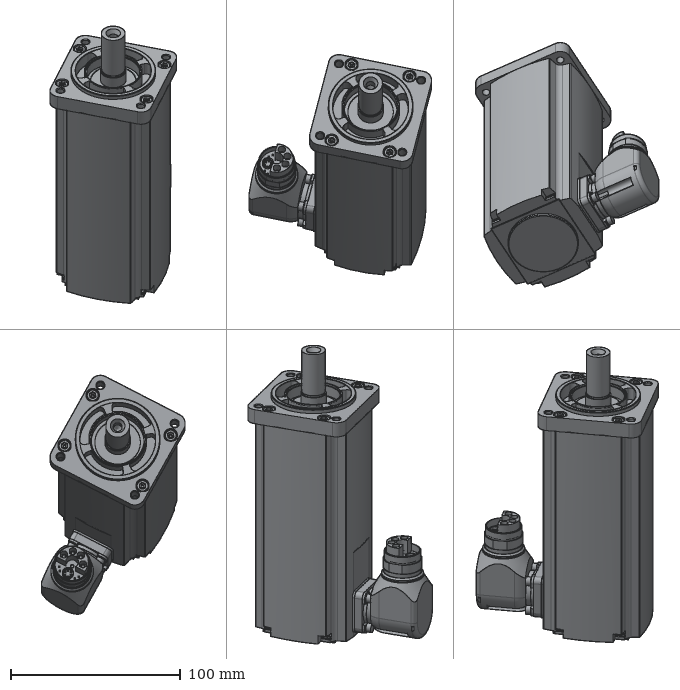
import cadquery as cq
import math

TOTAL_HEIGHT = 177.3
FLANGE_SIZE = 62.0
FLANGE_BOTTOM, FLANGE_TOP = 138.3, 147.3
FLANGE_CORNER_RADIUS = 6.2
PILOT_DIAMETER = 50.0
PILOT_TOP = 149.8
PILOT_CHAMFER = 0.4

SHAFT_DIAMETER = 14.0
SHAFT_NECK_DIAMETER = 13.7
SHAFT_COLLAR_DIAMETER = 15.0
SHAFT_NECK_HEIGHT = 1.0
CENTRE_BORE_DIAMETER = 5.3
CENTRE_BORE_DEPTH = 7.1
CENTRE_MOUTH_DIAMETER = 8.5
CENTRE_MOUTH_DEPTH = 2.7

FACE_RECESS_DIAMETER = 44.9
FACE_RECESS_DEPTH = 0.4
POCKET_INNER_RADIUS, POCKET_OUTER_RADIUS = 17.0, 22.3
POCKET_HALF_ANGLE = 38.0
POCKET_CORNER_RADIUS = 2.5
POCKET_DEPTH = 8.0
BEARING_BORE_DIAMETER = 31.2
SEAL_DIAMETER = 26.8
SEAL_GROOVE_DEPTH = 0.7
BEARING_BORE_DEPTH = 7.1
BEARING_MOUTH_DIAMETER = 32.6
BEARING_MOUTH_DEPTH = 1.5

MOUNT_HOLE_DIAMETER = 4.3
MOUNT_HOLE_MOUTH_DIAMETER = 5.3
MOUNT_HOLE_OFFSET = 24.8
SCREW_X, SCREW_Y = 26.0, 17.5
SCREW_SEAT_DIAMETER = 7.8
SCREW_SEAT_DEPTH = 1.8
SCREW_HEAD_DIAMETER = 6.5
SCREW_HEAD_HEIGHT = 1.2
SCREW_SOCKET_DIAMETER = 4.0
SCREW_PILOT_DIAMETER = 2.0

BODY_BOTTOM = 2.8
BODY_HALF_WIDTH = 31.0
FACE_END, FACE_HALF_LENGTH = 29.0, 19.5
FACE_EDGE_CHAMFER = 0.5
CORNER_STEP = 21.6
CORNER_INNER_RADIUS = 4.0
CLIP_INNER_X = 23.8
CLIP_INNER_Y, CLIP_OUTER_Y = 15.0, 22.3
CLIP_TOP = 8.2
CLIP_FOOT_TOP = 4.6
CLIP_LIP_BOTTOM, CLIP_LIP_TOP = 5.5, 6.4
CLIP_LIP_REACH = 25.2
END_PLATE_WIDTH = 45.4
END_PLATE_BOTTOM = 2.0
END_DISC_DIAMETER = 41.5
END_DISC_CHAMFER = 0.5

PLUG_AXIS_Z = 18.6
PLUG_REAR_Y = 71.0
PAD_TOP = 57.1
PAD_Y = 30.3
BASE_SIZE = 25.9
BASE_LIP_SIZE = 26.5
BASE_LIP_Y = 31.5
EAR_SIZE = 25.5
EAR_CHAMFER = 0.5
BASE_CORNER_RADIUS = 3.2
BASE_Y = 36.3
EAR_Y = 38.3
EAR_GAP = 13.5
NECK_DIAMETER = 22.0
NECK_RING_DIAMETER = 22.9
PLUG_SCREW_DIAMETER = 5.3
PLUG_SCREW_OFFSET = 9.4
HOUSING_HALF_WIDTH = 14.2
HOUSING_FRONT_Y = 41.3
HOUSING_FRONT_HALF_WIDTH = 12.2
HOUSING_TAPER_Y = 47.5
HOUSING_TOP = 42.5
HOUSING_REAR_RADIUS = 2.8
SHOULDER_TOP_RADIUS = 12.5
SHOULDER_SLOPE = 1.6
ACCESS_GROOVE_DIAMETER = 5.1
ACCESS_GROOVE_END_Y = 64.5
LATCH_Y, LATCH_Z = 68.8, 13.8
LATCH_LENGTH, LATCH_HEIGHT, LATCH_DEPTH = 1.5, 5.3, 1.0

OUTLET_Y = 56.7
OUTLET_SEAL_DIAMETER = 24.8
OUTLET_SEAL_TOP = 45.0
OUTLET_SEAL_GAP = 0.5
OUTLET_SEAL_CHAMFER = 1.0
OUTLET_NECK_DIAMETER = 22.0
NUT_DIAMETER = 22.9
NUT_FLAT_WIDTH = 21.3
NUT_BOTTOM, NUT_TOP = 47.5, 53.4
COLLAR_DIAMETER = 21.6
COLLAR_BORE_DIAMETER = 20.2
COLLAR_TOP = 58.5
COLLAR_CHAMFER = 0.4
INSERT_FLOOR = 54.0
INSERT_TOP = 63.3
INSERT_RADIUS = 9.5
INSERT_FLAT = 1.8
INSERT_NOTCH_RADIUS = 3.7
POWER_SOCKETS = [(6.4, -1.6), (2.7, -5.9)]
POWER_SOCKET_DIAMETER = 4.3
POWER_SOCKET_DEPTH = 7.1
PIN_DIAMETER = 2.0
PIN_HEIGHT = 2.7
DATA_PLUG_OFFSET = 5.3
DATA_PLUG_DIAMETER = 6.5
DATA_PLUG_BORE_DIAMETER = 5.1
DATA_PLUG_HEIGHT = 1.8
CONTACT_DIAMETER = 1.0
CONTACT_DEPTH = 1.5
DATA_CONTACT_COUNT = 6
DATA_CONTACT_RADIUS = 2.0
SIGNAL_CONTACTS = [(5.0, 6.0), (6.5, 3.9)]

EDGE_PICK_MARGIN = 0.2


def rod(diameter, bottom, top, x=0, y=0):
    """Cylinder along Z."""
    return cq.Workplane("XY", origin=(x, y, bottom)).circle(diameter / 2).extrude(top - bottom)


def rod_along_y(diameter, start, end, x, z):
    """Cylinder along +Y."""
    return cq.Workplane("XZ", origin=(x, start, z)).circle(diameter / 2).extrude(start - end)


def block(x_range, y_range, z_range):
    """Box given by its lower and upper limits on each axis."""
    spans = (x_range, y_range, z_range)
    sizes = [high - low for low, high in spans]
    corner = tuple(low for low, high in spans)
    return cq.Workplane("XY").box(*sizes, centered=False).translate(corner)


def mirrored(x, y):
    """The four points that share |x| and |y|."""
    return [(sx * x, sy * y) for sx in (-1, 1) for sy in (-1, 1)]


def polar(radius, degrees):
    angle = math.radians(degrees)
    return (radius * math.cos(angle), radius * math.sin(angle))


def upright_edges_at(x, y):
    """Selector for the vertical edges that stand at one point in plan."""
    low = (x - EDGE_PICK_MARGIN, y - EDGE_PICK_MARGIN, 0)
    high = (x + EDGE_PICK_MARGIN, y + EDGE_PICK_MARGIN, TOTAL_HEIGHT)
    return cq.selectors.BoxSelector(low, high)


def motor_body():
    """Four slightly convex faces meeting in stepped corners with a rounded inner edge."""
    sagitta = BODY_HALF_WIDTH - FACE_END
    face_radius = (FACE_HALF_LENGTH**2 + sagitta**2) / (2 * sagitta)
    wall_end = FACE_END - FACE_EDGE_CHAMFER
    wall_half_length = FACE_HALF_LENGTH + FACE_EDGE_CHAMFER
    wing = (
        cq.Workplane("XY", origin=(0, 0, BODY_BOTTOM))
        .moveTo(0, -CORNER_STEP)
        .lineTo(CORNER_STEP, -CORNER_STEP)
        .lineTo(wall_end, -wall_half_length)
        .lineTo(FACE_END, -FACE_HALF_LENGTH)
        .radiusArc((FACE_END, FACE_HALF_LENGTH), -face_radius)
        .lineTo(wall_end, wall_half_length)
        .lineTo(CORNER_STEP, CORNER_STEP)
        .lineTo(0, CORNER_STEP)
        .close()
        .extrude(FLANGE_BOTTOM - BODY_BOTTOM)
    )
    body = wing
    for quarter in range(1, 4):
        body = body.union(wing.rotate((0, 0, 0), (0, 0, 1), 90 * quarter))
    for x, y in mirrored(CORNER_STEP, CORNER_STEP):
        body = body.edges(upright_edges_at(x, y)).fillet(CORNER_INNER_RADIUS)
    return body


def rear_end():
    plate = (
        cq.Workplane("XY", origin=(0, 0, END_PLATE_BOTTOM))
        .rect(END_PLATE_WIDTH, END_PLATE_WIDTH)
        .extrude(BODY_BOTTOM - END_PLATE_BOTTOM)
    )
    disc = rod(END_DISC_DIAMETER, 0, END_PLATE_BOTTOM).faces("<Z").chamfer(END_DISC_CHAMFER)
    return plate.union(disc)


def clip_pockets():
    """Openings at the rear ends of the two X faces, each holding a foot and a small lip."""
    y_range = (CLIP_INNER_Y, CLIP_OUTER_Y)
    pocket = block((CLIP_INNER_X, FLANGE_SIZE / 2), y_range, (BODY_BOTTOM, CLIP_TOP))
    for z_range in ((BODY_BOTTOM, CLIP_FOOT_TOP), (CLIP_LIP_BOTTOM, CLIP_LIP_TOP)):
        pocket = pocket.cut(block((CLIP_INNER_X, CLIP_LIP_REACH), y_range, z_range))
    pair = pocket.union(pocket.mirror("XZ"))
    return pair.union(pair.mirror("YZ"))


def flange():
    plate = (
        cq.Workplane("XY", origin=(0, 0, FLANGE_BOTTOM))
        .rect(FLANGE_SIZE, FLANGE_SIZE)
        .extrude(FLANGE_TOP - FLANGE_BOTTOM)
        .edges("|Z")
        .fillet(FLANGE_CORNER_RADIUS)
    )
    pilot = rod(PILOT_DIAMETER, FLANGE_TOP, PILOT_TOP).faces(">Z").chamfer(PILOT_CHAMFER)
    return plate.union(pilot)


def face_pockets():
    """Shallow recess, four curved pockets and the stepped bearing bore with its seal groove."""
    cuts = rod(FACE_RECESS_DIAMETER, PILOT_TOP - FACE_RECESS_DEPTH, PILOT_TOP)
    floor = PILOT_TOP - BEARING_BORE_DEPTH
    cuts = cuts.union(rod(BEARING_BORE_DIAMETER, floor, PILOT_TOP))
    cuts = cuts.union(rod(BEARING_MOUTH_DIAMETER, PILOT_TOP - BEARING_MOUTH_DEPTH, PILOT_TOP))
    groove_floor = floor - SEAL_GROOVE_DEPTH
    groove = rod(BEARING_BORE_DIAMETER, groove_floor, floor).cut(rod(SEAL_DIAMETER, groove_floor, floor))
    cuts = cuts.union(groove)
    corner_x, corner_y = polar(POCKET_OUTER_RADIUS, POCKET_HALF_ANGLE)
    outer_corners = upright_edges_at(corner_x, corner_y) + upright_edges_at(corner_x, -corner_y)
    pocket = (
        cq.Workplane("XY", origin=(0, 0, PILOT_TOP - POCKET_DEPTH))
        .moveTo(*polar(POCKET_INNER_RADIUS, -POCKET_HALF_ANGLE))
        .lineTo(*polar(POCKET_OUTER_RADIUS, -POCKET_HALF_ANGLE))
        .threePointArc((POCKET_OUTER_RADIUS, 0), polar(POCKET_OUTER_RADIUS, POCKET_HALF_ANGLE))
        .lineTo(*polar(POCKET_INNER_RADIUS, POCKET_HALF_ANGLE))
        .threePointArc((POCKET_INNER_RADIUS, 0), polar(POCKET_INNER_RADIUS, -POCKET_HALF_ANGLE))
        .close()
        .extrude(POCKET_DEPTH)
        .edges(outer_corners)
        .fillet(POCKET_CORNER_RADIUS)
    )
    for quarter in range(4):
        cuts = cuts.union(pocket.rotate((0, 0, 0), (0, 0, 1), 90 * quarter))
    return cuts


def shaft():
    """Stepped shaft with a conical-mouthed centre bore in its free end."""
    neck_top = PILOT_TOP + SHAFT_NECK_HEIGHT
    steps = rod(SHAFT_COLLAR_DIAMETER, FLANGE_BOTTOM, PILOT_TOP)
    steps = steps.union(rod(SHAFT_NECK_DIAMETER, PILOT_TOP, neck_top))
    steps = steps.union(rod(SHAFT_DIAMETER, neck_top, TOTAL_HEIGHT))
    bore_radius = CENTRE_BORE_DIAMETER / 2
    bore_floor = TOTAL_HEIGHT - CENTRE_BORE_DEPTH
    bore = (
        cq.Workplane("XZ")
        .moveTo(0, bore_floor - bore_radius)
        .lineTo(bore_radius, bore_floor)
        .lineTo(bore_radius, TOTAL_HEIGHT - CENTRE_MOUTH_DEPTH)
        .lineTo(CENTRE_MOUTH_DIAMETER / 2, TOTAL_HEIGHT)
        .lineTo(0, TOTAL_HEIGHT)
        .close()
        .revolve(360, (0, 0), (0, 1))
    )
    return steps.cut(bore)


def flange_screws():
    """Space around the four screw heads, with their sockets, to be cut from the flange."""
    seat_floor = FLANGE_TOP - SCREW_SEAT_DEPTH
    head_top = seat_floor + SCREW_HEAD_HEIGHT
    seat = rod(SCREW_SEAT_DIAMETER, seat_floor, FLANGE_TOP)
    head = rod(SCREW_HEAD_DIAMETER, seat_floor, head_top)
    socket = cq.Workplane("XY", origin=(0, 0, seat_floor)).polygon(6, SCREW_SOCKET_DIAMETER)
    space = seat.cut(head).union(socket.extrude(SCREW_HEAD_HEIGHT))
    space = space.union(rod(SCREW_PILOT_DIAMETER, seat_floor - SCREW_PILOT_DIAMETER, seat_floor))
    spaces = cq.Workplane("XY")
    for x, y in mirrored(SCREW_X, SCREW_Y):
        spaces = spaces.add(space.translate((x, y, 0)))
    return spaces.combine()


def mount_holes():
    """Four through holes, chamfered at the flange face."""
    outer, inner = MOUNT_HOLE_MOUTH_DIAMETER / 2, MOUNT_HOLE_DIAMETER / 2
    depth = outer - inner
    holes = cq.Workplane("XY")
    for x, y in mirrored(MOUNT_HOLE_OFFSET, MOUNT_HOLE_OFFSET):
        mouth = cq.Solid.makeCone(inner, outer, depth, cq.Vector(x, y, FLANGE_TOP - depth))
        holes = holes.add(rod(MOUNT_HOLE_DIAMETER, FLANGE_BOTTOM, FLANGE_TOP, x, y).union(mouth))
    return holes.combine()


def connector_base():
    """Square plate with four corner ears, a round neck and four screws."""

    def square_plate(size, start, end):
        return (
            cq.Workplane("XZ", origin=(0, start, PLUG_AXIS_Z))
            .rect(size, size)
            .extrude(start - end)
            .edges("|Y")
            .fillet(BASE_CORNER_RADIUS)
        )

    ears = square_plate(EAR_SIZE, BASE_Y, EAR_Y).faces(">Y").chamfer(EAR_CHAMFER)
    gap = cq.Workplane("XZ", origin=(0, BASE_Y, PLUG_AXIS_Z))
    ears = ears.cut(gap.rect(EAR_GAP, BASE_SIZE).extrude(BASE_Y - EAR_Y))
    ears = ears.cut(gap.rect(BASE_SIZE, EAR_GAP).extrude(BASE_Y - EAR_Y))
    base = square_plate(BASE_SIZE, FACE_END, BASE_Y).union(ears)
    base = base.union(square_plate(BASE_LIP_SIZE, FACE_END, BASE_LIP_Y))
    base = base.union(rod_along_y(NECK_RING_DIAMETER, BASE_Y, EAR_Y, 0, PLUG_AXIS_Z))
    base = base.union(rod_along_y(NECK_DIAMETER, BASE_Y, HOUSING_TAPER_Y, 0, PLUG_AXIS_Z))
    for x, z in mirrored(PLUG_SCREW_OFFSET, PLUG_SCREW_OFFSET):
        screw = rod_along_y(PLUG_SCREW_DIAMETER, BASE_Y, HOUSING_FRONT_Y, x, PLUG_AXIS_Z + z)
        base = base.union(screw)
    return base


def housing_half_outline(workplane):
    """Half plan of the housing from its axis out to the side, with both corners rounded."""
    rear_start = PLUG_REAR_Y - HOUSING_REAR_RADIUS
    rear_half = HOUSING_HALF_WIDTH - HOUSING_REAR_RADIUS
    taper_length = HOUSING_TAPER_Y - HOUSING_FRONT_Y
    taper_inset = HOUSING_HALF_WIDTH - HOUSING_FRONT_HALF_WIDTH
    taper_radius = (taper_length**2 + taper_inset**2) / (2 * taper_inset)
    return (
        workplane.moveTo(0, HOUSING_FRONT_Y)
        .lineTo(HOUSING_FRONT_HALF_WIDTH, HOUSING_FRONT_Y)
        .radiusArc((HOUSING_HALF_WIDTH, HOUSING_TAPER_Y), -taper_radius)
        .lineTo(HOUSING_HALF_WIDTH, rear_start)
        .radiusArc((rear_half, PLUG_REAR_Y), -HOUSING_REAR_RADIUS)
        .lineTo(0, PLUG_REAR_Y)
        .close()
    )


def connector_housing():
    """Upright block over a half-round lower part, with a conical shoulder on top."""
    plane = cq.Workplane("XY", origin=(0, 0, PLUG_AXIS_Z))
    half = housing_half_outline(plane).extrude(HOUSING_TOP - PLUG_AXIS_Z)
    upper = half.union(half.mirror("YZ"))
    cone_radius = SHOULDER_TOP_RADIUS + (HOUSING_TOP - PLUG_AXIS_Z) / SHOULDER_SLOPE
    cone = cq.Solid.makeCone(
        cone_radius, SHOULDER_TOP_RADIUS, HOUSING_TOP - PLUG_AXIS_Z, cq.Vector(0, OUTLET_Y, PLUG_AXIS_Z)
    )
    upper = upper.intersect(cq.Workplane("XY").add(cone))
    lower = housing_half_outline(plane).revolve(360, (0, 0), (0, 1))
    housing = upper.union(lower)
    for side in (-1, 1):
        housing = housing.cut(
            rod_along_y(
                ACCESS_GROOVE_DIAMETER,
                HOUSING_FRONT_Y,
                ACCESS_GROOVE_END_Y,
                side * PLUG_SCREW_OFFSET,
                PLUG_AXIS_Z - PLUG_SCREW_OFFSET,
            )
        )
        latch = cq.Workplane("XY").box(2 * LATCH_DEPTH, LATCH_LENGTH, LATCH_HEIGHT)
        housing = housing.cut(latch.translate((side * HOUSING_HALF_WIDTH, LATCH_Y, LATCH_Z)))
    return housing


def outlet():
    """Seal ring, neck, two-flat nut and open collar, stacked about the outlet axis."""
    seal_bottom = HOUSING_TOP + OUTLET_SEAL_GAP
    stack = rod(OUTLET_NECK_DIAMETER, PLUG_AXIS_Z, NUT_BOTTOM)
    seal = rod(OUTLET_SEAL_DIAMETER, seal_bottom, OUTLET_SEAL_TOP)
    stack = stack.union(seal.faces(">Z").chamfer(OUTLET_SEAL_CHAMFER))
    nut = rod(NUT_DIAMETER, NUT_BOTTOM, NUT_TOP)
    across_flats = cq.Workplane("XY").rect(NUT_FLAT_WIDTH, NUT_DIAMETER).extrude(NUT_TOP)
    nut = nut.intersect(across_flats)
    collar = rod(COLLAR_DIAMETER, NUT_TOP, COLLAR_TOP).faces(">Z").chamfer(COLLAR_CHAMFER)
    return stack.union(nut).union(collar).cut(rod(COLLAR_BORE_DIAMETER, INSERT_FLOOR, COLLAR_TOP))


def outlet_insert():
    """Notched D-shaped socket block with pins in its sockets, and a round data plug sleeve."""
    insert = rod(2 * INSERT_RADIUS, INSERT_FLOOR, INSERT_TOP)
    beyond_flat = block(
        (-INSERT_RADIUS, INSERT_RADIUS), (INSERT_FLAT, INSERT_RADIUS), (INSERT_FLOOR, INSERT_TOP)
    )
    insert = insert.cut(beyond_flat)
    insert = insert.cut(rod(2 * INSERT_NOTCH_RADIUS, INSERT_FLOOR, INSERT_TOP))
    socket_floor = INSERT_TOP - POWER_SOCKET_DEPTH
    for x, y in POWER_SOCKETS:
        for side in (-1, 1):
            insert = insert.cut(rod(POWER_SOCKET_DIAMETER, socket_floor, INSERT_TOP, side * x, y))
            pin = rod(PIN_DIAMETER, socket_floor, socket_floor + PIN_HEIGHT, side * x, y)
            insert = insert.union(pin)
    plug_top = INSERT_FLOOR + DATA_PLUG_HEIGHT
    plug_sleeve = rod(DATA_PLUG_DIAMETER, INSERT_FLOOR, plug_top, 0, DATA_PLUG_OFFSET)
    plug_sleeve = plug_sleeve.cut(
        rod(DATA_PLUG_BORE_DIAMETER, INSERT_FLOOR, plug_top, 0, DATA_PLUG_OFFSET)
    )
    return insert.union(plug_sleeve)


def contact_holes():
    """Small holes in the insert floor for the contacts and the central pin."""
    points = list(SIGNAL_CONTACTS) + [(-x, y) for x, y in SIGNAL_CONTACTS]
    for index in range(DATA_CONTACT_COUNT):
        x, y = polar(DATA_CONTACT_RADIUS, 360 * index / DATA_CONTACT_COUNT)
        points.append((x, DATA_PLUG_OFFSET + y))
    floor_bottom = INSERT_FLOOR - CONTACT_DEPTH
    holes = rod(PIN_DIAMETER, floor_bottom, INSERT_FLOOR)
    for x, y in points:
        holes = holes.add(rod(CONTACT_DIAMETER, floor_bottom, INSERT_FLOOR, x, y))
    return holes.combine()


half_flange = FLANGE_SIZE / 2
connector_pad = block((-half_flange, half_flange), (PAD_Y, half_flange), (0, PAD_TOP))
motor = motor_body().union(rear_end()).cut(clip_pockets()).cut(connector_pad)
motor = motor.union(flange()).cut(face_pockets()).union(shaft())
motor = motor.cut(flange_screws())
motor = motor.cut(mount_holes())

plug = outlet().union(outlet_insert()).cut(contact_holes()).translate((0, OUTLET_Y, 0))
connector = connector_base().union(connector_housing()).union(plug)
result = motor.union(connector)